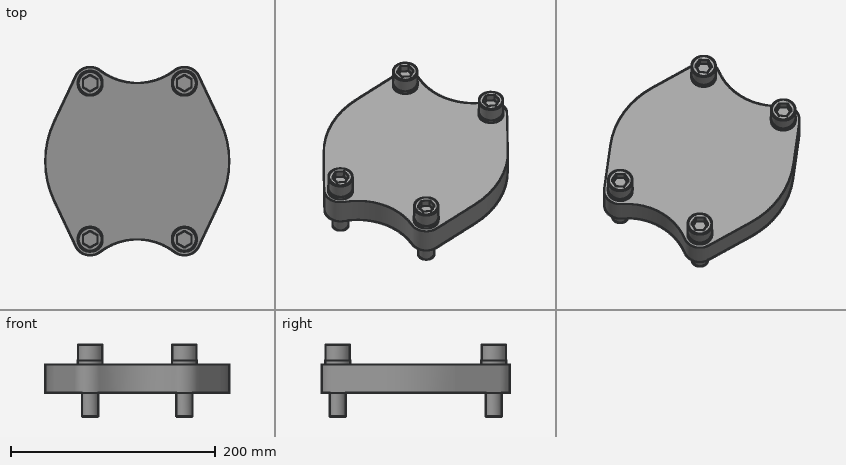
import cadquery as cq
import math

LENGTH = 184.0
BODY_RADIUS = 90.0
PLATE_THICKNESS = 28.0
SCALLOP_RADIUS = 60.0

BOLT_X = 46.0
BOLT_Y = 76.2
EAR_RADIUS = LENGTH / 2 - BOLT_Y

WASHER_DIAMETER = 24.5
WASHER_THICKNESS = 3.5
HEAD_DIAMETER = 24.0
HEAD_HEIGHT = 16.0
HEAD_CHAMFER = 0.7
SHANK_DIAMETER = 16.0
SHANK_PROJECTION = 23.5
SHANK_CHAMFER = 1.3
HEX_ACROSS_FLATS = 14.0
HEX_DEPTH = 8.0


def make_plate():
    """Round body with four tangent ears and a concave scallop at each Y end."""
    bolt_distance = math.hypot(BOLT_X, BOLT_Y)
    flank_angle = math.atan2(BOLT_Y, BOLT_X) - math.acos((BODY_RADIUS - EAR_RADIUS) / bolt_distance)
    normal_x = math.cos(flank_angle)
    normal_y = math.sin(flank_angle)
    body_x = BODY_RADIUS * normal_x
    body_y = BODY_RADIUS * normal_y
    flank_end_x = BOLT_X + EAR_RADIUS * normal_x
    flank_end_y = BOLT_Y + EAR_RADIUS * normal_y

    centre_distance = SCALLOP_RADIUS + EAR_RADIUS
    scallop_y = BOLT_Y + math.sqrt(centre_distance**2 - BOLT_X**2)
    scallop_bottom_y = scallop_y - SCALLOP_RADIUS
    touch_fraction = EAR_RADIUS / centre_distance
    touch_x = BOLT_X * (1 - touch_fraction)
    touch_y = BOLT_Y + (scallop_y - BOLT_Y) * touch_fraction
    ear_top_y = BOLT_Y + EAR_RADIUS

    return (
        cq.Workplane("XY")
        .moveTo(body_x, -body_y)
        .threePointArc((BODY_RADIUS, 0), (body_x, body_y))
        .lineTo(flank_end_x, flank_end_y)
        .threePointArc((BOLT_X, ear_top_y), (touch_x, touch_y))
        .threePointArc((0, scallop_bottom_y), (-touch_x, touch_y))
        .threePointArc((-BOLT_X, ear_top_y), (-flank_end_x, flank_end_y))
        .lineTo(-body_x, body_y)
        .threePointArc((-BODY_RADIUS, 0), (-body_x, -body_y))
        .lineTo(-flank_end_x, -flank_end_y)
        .threePointArc((-BOLT_X, -ear_top_y), (-touch_x, -touch_y))
        .threePointArc((0, -scallop_bottom_y), (touch_x, -touch_y))
        .threePointArc((BOLT_X, -ear_top_y), (flank_end_x, -flank_end_y))
        .close()
        .extrude(PLATE_THICKNESS)
    )


def make_screw():
    """Cap screw with washer on the Z axis, seated on the top face of the plate."""
    washer_top = PLATE_THICKNESS + WASHER_THICKNESS
    head_top = washer_top + HEAD_HEIGHT

    shank = (
        cq.Workplane("XY", origin=(0, 0, -SHANK_PROJECTION))
        .circle(SHANK_DIAMETER / 2)
        .extrude(SHANK_PROJECTION + PLATE_THICKNESS)
        .faces("<Z")
        .chamfer(SHANK_CHAMFER)
    )
    washer = (
        cq.Workplane("XY", origin=(0, 0, PLATE_THICKNESS))
        .circle(WASHER_DIAMETER / 2)
        .extrude(WASHER_THICKNESS)
    )
    head = (
        cq.Workplane("XY", origin=(0, 0, washer_top))
        .circle(HEAD_DIAMETER / 2)
        .extrude(HEAD_HEIGHT)
        .faces(">Z")
        .chamfer(HEAD_CHAMFER)
    )
    socket = (
        cq.Workplane("XY", origin=(0, 0, head_top - HEX_DEPTH))
        .polygon(6, HEX_ACROSS_FLATS, circumscribed=True)
        .extrude(HEX_DEPTH)
    )
    return shank.union(washer).union(head).cut(socket)


result = make_plate()
screw = make_screw()
for x in (-BOLT_X, BOLT_X):
    for y in (-BOLT_Y, BOLT_Y):
        result = result.union(screw.translate((x, y, 0)))